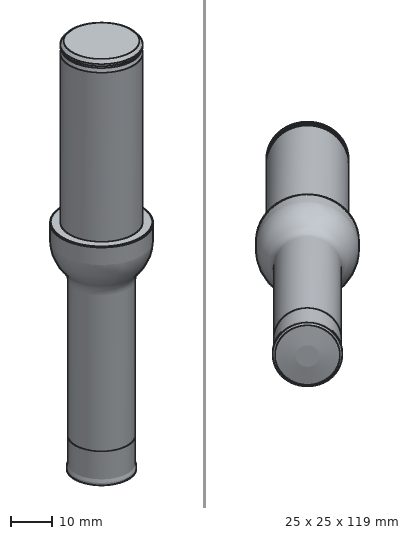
import cadquery as cq
import math

total_length = 119.0
collar_top = 69.0
collar_height = 5.0
joint_height = 10.2

shank_radius = 20.0 / 2
collar_radius = 25.0 / 2
neck_radius = 16.4 / 2

end_chamfer_height = 1.0
end_chamfer_width = 0.8
land_height = 0.6
groove_depth = 0.4
groove_floor_height = 0.7
groove_runout_height = 1.1

collar_chamfer = 0.2
shoulder_radius = 10.5
fillet_radius = 5.0

lip_radius = 8.5
lip_slope_top = 2.5
lip_top = 1.7
lip_bottom = 1.0
cone_radius = 7.9
end_flat_radius = 2.9
cone_height = 0.6


def revolve_about_z(profile):
    """Close a half profile drawn in the XZ plane and turn it about the Z axis."""
    return profile.close().revolve(360, (0, 0, 0), (0, 1, 0))


def make_holder():
    """Shank, collar and neck, down to the joint with the tip."""
    sweep = math.acos(1 - (collar_radius - neck_radius) / (shoulder_radius + fillet_radius))
    collar_bottom = collar_top - collar_height
    shoulder_center = collar_radius - shoulder_radius
    fillet_center = neck_radius + fillet_radius
    neck_top = collar_bottom - (shoulder_radius + fillet_radius) * math.sin(sweep)

    def shoulder_point(angle):
        return (shoulder_center + shoulder_radius * math.cos(angle),
                collar_bottom - shoulder_radius * math.sin(angle))

    def fillet_point(angle):
        return (fillet_center - fillet_radius * math.cos(angle),
                neck_top + fillet_radius * math.sin(angle))

    land_top = total_length - end_chamfer_height
    groove_top = land_top - land_height
    groove_floor_bottom = groove_top - groove_floor_height
    groove_bottom = groove_floor_bottom - groove_runout_height
    groove_radius = shank_radius - groove_depth

    profile = (
        cq.Workplane("XZ")
        .moveTo(0, joint_height)
        .lineTo(neck_radius, joint_height)
        .lineTo(neck_radius, neck_top)
        .threePointArc(fillet_point(sweep / 2), fillet_point(sweep))
        .threePointArc(shoulder_point(sweep / 2), shoulder_point(0))
        .lineTo(collar_radius, collar_top - collar_chamfer)
        .lineTo(collar_radius - collar_chamfer, collar_top)
        .lineTo(shank_radius, collar_top)
        .lineTo(shank_radius, groove_bottom)
        .lineTo(groove_radius, groove_floor_bottom)
        .lineTo(groove_radius, groove_top)
        .lineTo(shank_radius, groove_top)
        .lineTo(shank_radius, land_top)
        .lineTo(shank_radius - end_chamfer_width, total_length)
        .lineTo(0, total_length)
    )
    return revolve_about_z(profile)


def make_tip():
    """Tip that continues the neck and ends in a lip and a shallow flat-ended cone."""
    profile = (
        cq.Workplane("XZ")
        .moveTo(0, 0)
        .lineTo(end_flat_radius, 0)
        .lineTo(cone_radius, cone_height)
        .lineTo(lip_radius, lip_bottom)
        .lineTo(lip_radius, lip_top)
        .lineTo(neck_radius, lip_slope_top)
        .lineTo(neck_radius, joint_height)
        .lineTo(0, joint_height)
    )
    return revolve_about_z(profile)


holder = make_holder()
tip = make_tip()

result = cq.Compound.makeCompound([holder.val(), tip.val()])